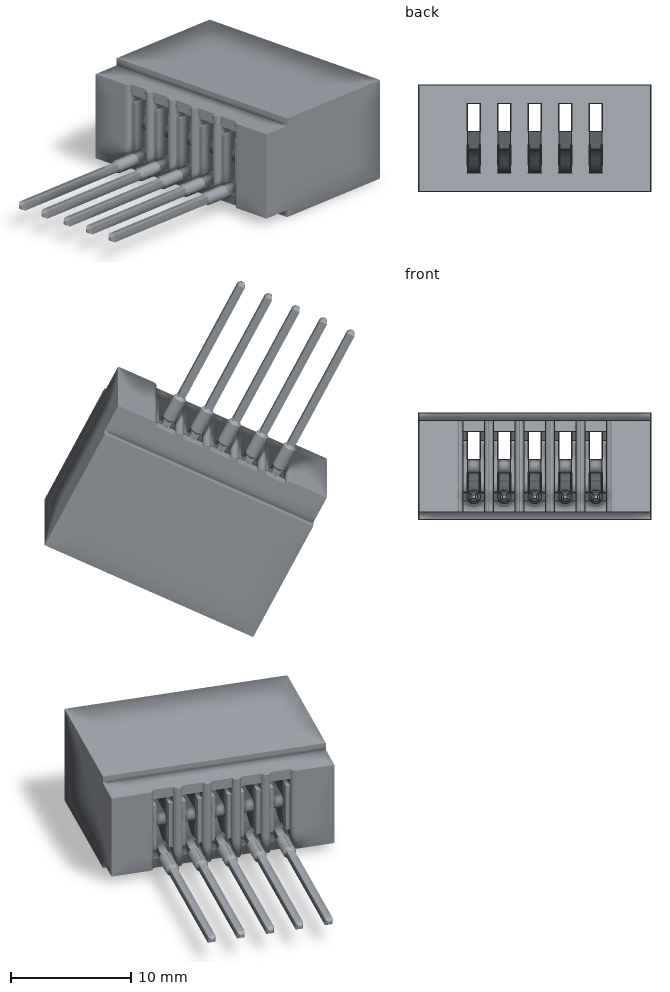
import cadquery as cq
import math

housing_width = 19.3
housing_height = 8.88
housing_depth = 13.95
front_step_depth = 2.57
front_step_height = 0.65

contact_count = 5
pitch = 2.55
bay_depth = 0.37
pillar_half_width = 0.37
flank_radius = 0.4
bay_width = pitch - 2 * pillar_half_width

opening_half_height = 2.88
slot_width = 1.07
ledge_half_height = 2.15
ledge_setback = 0.2
ledge_y = bay_depth + ledge_setback
shoulder_front_y = 1.2
shoulder_length = 0.65
shoulder_back_y = shoulder_front_y + shoulder_length

pin_size = 0.65
pin_reach = 14.25
pin_z = -opening_half_height + pin_size / 2
pin_top_z = pin_z + pin_size / 2
tip_length = 0.28
tip_size = 0.28

barrel_radius = 0.55
barrel_start = 0.05
barrel_end = 2.62
barrel_taper = 0.28
seam_width = 0.1
seam_depth = 0.08

arm_width = 0.9
arm_bend_z = -1.25
arm_slope = math.radians(60)
nose_radius = 0.55
nose_center_y = 1.83

arm_rise = arm_bend_z - pin_top_z
arm_radius = arm_rise / (1 - math.cos(arm_slope))
arm_run = arm_radius * math.sin(arm_slope)
arm_bend_y = shoulder_back_y + arm_run
arm_end_y = arm_bend_y + arm_run
arm_end_z = arm_bend_z + arm_rise


def block(width, y_front, y_back, z_bottom, z_top):
    """Box centred on X = 0 between the given Y and Z limits."""
    return (
        cq.Workplane("XY")
        .box(width, y_back - y_front, z_top - z_bottom, centered=(True, False, False))
        .translate((0, y_front, z_bottom))
    )


def bay_recess():
    """Shallow full-height recess whose side walls bulge into it, meeting in a ridge between bays."""
    half_floor = bay_width / 2
    half_pitch = pitch / 2
    return (
        cq.Workplane("XY")
        .moveTo(-half_pitch, 0)
        .radiusArc((-half_floor, bay_depth), -flank_radius)
        .lineTo(half_floor, bay_depth)
        .radiusArc((half_pitch, 0), -flank_radius)
        .close()
        .extrude(housing_height / 2, both=True)
    )


def bay_opening():
    """Through slot with a wide mouth and deeper pockets above and below the ledges."""
    top = opening_half_height
    slot = block(slot_width, 0, housing_depth, -top, top)
    mouth = block(bay_width, 0, ledge_y, -top, top)
    upper_pocket = block(bay_width, 0, shoulder_back_y, ledge_half_height, top)
    lower_pocket = block(bay_width, 0, shoulder_back_y, -top, -ledge_half_height)
    return slot.union(mouth).union(upper_pocket).union(lower_pocket)


def make_housing(bay_positions):
    front_half_height = housing_height / 2 - front_step_height
    front = block(housing_width, 0, front_step_depth, -front_half_height, front_half_height)
    rear = block(housing_width, front_step_depth, housing_depth, -housing_height / 2, housing_height / 2)
    body = front.union(rear)
    for x in bay_positions:
        body = body.cut(bay_recess().translate((x, 0, 0)))
        body = body.cut(bay_opening().translate((x, 0, 0)))
    return body


def pin():
    """Square pin ending in a pyramid-shaped tip."""
    tip_start = pin_reach - tip_length
    shaft = block(pin_size, -tip_start, shoulder_front_y, pin_z - pin_size / 2, pin_top_z)
    tip = (
        cq.Workplane("XZ", origin=(0, -tip_start, pin_z))
        .rect(pin_size, pin_size)
        .workplane(offset=tip_length)
        .rect(tip_size, tip_size)
        .loft()
    )
    return shaft.union(tip)


def barrel():
    """Round sleeve about the pin axis, with conical ends and a narrow seam along its top."""
    end_radius = pin_size / 2
    sleeve = (
        cq.Workplane("XY")
        .moveTo(0, -barrel_start)
        .lineTo(end_radius, -barrel_start)
        .lineTo(barrel_radius, -barrel_start - barrel_taper)
        .lineTo(barrel_radius, -barrel_end + barrel_taper)
        .lineTo(end_radius, -barrel_end)
        .lineTo(0, -barrel_end)
        .close()
        .revolve(360, (0, 0, 0), (0, 1, 0))
        .translate((0, 0, pin_z))
    )
    sleeve_top = pin_z + barrel_radius
    seam = block(seam_width, -barrel_end, -barrel_start, sleeve_top - seam_depth, sleeve_top)
    return sleeve.cut(seam)


def spring_arm():
    """S-shaped strip, level at both ends, that climbs from the shoulder into the nose."""
    mid_run = arm_radius * math.sin(arm_slope / 2)
    mid_rise = arm_radius * (1 - math.cos(arm_slope / 2))
    lower_mid = (shoulder_back_y + mid_run, pin_top_z + mid_rise)
    upper_mid = (arm_end_y - mid_run, arm_end_z - mid_rise)

    def lowered(point):
        return (point[0], point[1] - pin_size)

    start = (shoulder_back_y, pin_top_z)
    bend = (arm_bend_y, arm_bend_z)
    end = (arm_end_y, arm_end_z)
    return (
        cq.Workplane("YZ")
        .moveTo(*start)
        .threePointArc(lower_mid, bend)
        .threePointArc(upper_mid, end)
        .lineTo(*lowered(end))
        .threePointArc(lowered(upper_mid), lowered(bend))
        .threePointArc(lowered(lower_mid), lowered(start))
        .close()
        .extrude(arm_width / 2, both=True)
    )


def nose():
    """Bar across the slot with a half-round front."""
    return (
        cq.Workplane("YZ")
        .moveTo(nose_center_y, -nose_radius)
        .threePointArc((nose_center_y - nose_radius, 0), (nose_center_y, nose_radius))
        .lineTo(arm_end_y, nose_radius)
        .lineTo(arm_end_y, -nose_radius)
        .close()
        .extrude(slot_width / 2, both=True)
    )


def make_contact():
    shoulder = block(bay_width, shoulder_front_y, shoulder_back_y, pin_z - pin_size / 2, pin_top_z)
    return pin().union(barrel()).union(shoulder).union(spring_arm()).union(nose())


contact_positions = [(i - (contact_count - 1) / 2) * pitch for i in range(contact_count)]
housing = make_housing(contact_positions)
contacts = [make_contact().translate((x, 0, 0)) for x in contact_positions]

result = cq.Compound.makeCompound([housing.val(), *[contact.val() for contact in contacts]])